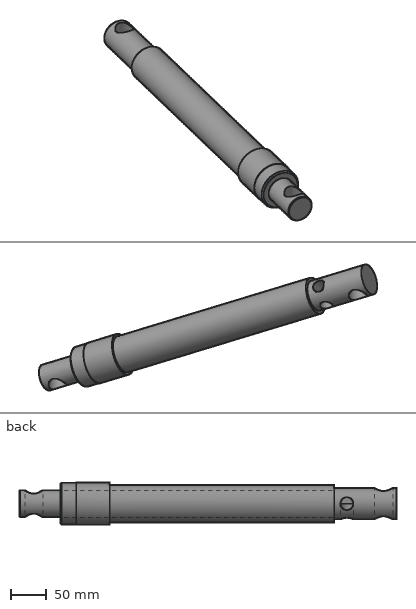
import cadquery as cq

TOTAL_LENGTH = 530.0

BASE_DIAMETER = 44.0
TUBE_DIAMETER = 53.0
HEAD_DIAMETER = 60.0
GLAND_DIAMETER = 59.0
TUBE_START = 88.0
HEAD_START = 403.5
GLAND_START = 450.0
GLAND_END = 473.0
GLAND_CHAMFER = 2.0

ROD_DIAMETER = 38.0
ROD_CHAMFER = 1.0

PIN_HOLE_DIAMETER = 25.5
BASE_PIN_X = 18.5
ROD_PIN_X = TOTAL_LENGTH - 20.0

PORT_DIAMETER = 18.0
PORT_X = 70.0
PORT_DIRECTIONS = [(0, 1, 0), (0, 0, -1)]


def round_bar(start, end, diameter):
    """Solid bar on the X axis between two X positions."""
    return cq.Workplane("YZ", origin=(start, 0, 0)).circle(diameter / 2).extrude(end - start)


def pin_hole(x):
    """Cutter for a vertical pin hole through the whole part."""
    return cq.Workplane("XY", origin=(x, 0, 0)).circle(PIN_HOLE_DIAMETER / 2).extrude(HEAD_DIAMETER, both=True)


def port(direction):
    """Cutter for an oil port running from the axis out through the base."""
    plane = cq.Plane(origin=(PORT_X, 0, 0), xDir=(1, 0, 0), normal=direction)
    return cq.Workplane(plane).circle(PORT_DIAMETER / 2).extrude(BASE_DIAMETER)


def make_cylinder_body():
    """Base, tube, head and gland, with a bore for the rod."""
    gland = round_bar(GLAND_START, GLAND_END, GLAND_DIAMETER).faces(">X").chamfer(GLAND_CHAMFER)
    body = (
        round_bar(0, TUBE_START, BASE_DIAMETER)
        .union(round_bar(TUBE_START, HEAD_START, TUBE_DIAMETER))
        .union(round_bar(HEAD_START, GLAND_START, HEAD_DIAMETER))
        .union(gland)
        .cut(round_bar(TUBE_START, GLAND_END, ROD_DIAMETER))
        .cut(pin_hole(BASE_PIN_X))
    )
    for direction in PORT_DIRECTIONS:
        body = body.cut(port(direction))
    return body


def make_rod():
    """Piston rod with a chamfered end and a pin hole."""
    rod = round_bar(TUBE_START, TOTAL_LENGTH, ROD_DIAMETER).faces(">X").chamfer(ROD_CHAMFER)
    return rod.cut(pin_hole(ROD_PIN_X))


cylinder_body = make_cylinder_body()
rod = make_rod()

result = cq.Compound.makeCompound([cylinder_body.val(), rod.val()])